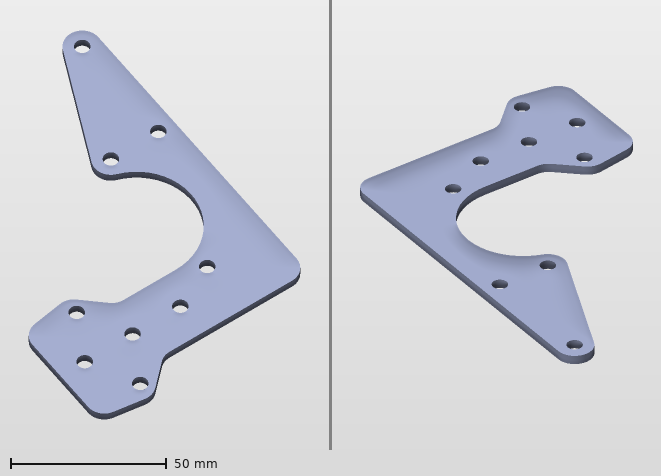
import cadquery as cq
import math

thickness = 3.2
edge_radius = 6.3
hole_diameter = 5.3

lobe_x = 41.8
lobe_y = -18.8

neck_x = 102.5
neck_half_width = 12.7
neck_bottom_y = -50.9
shoulder_half_width = 23.8
shoulder_y = -62.8
foot_half_width = 20.8
foot_y = -82.5

window_radius = 21.5
neck_left = neck_x - neck_half_width
neck_right = neck_x + neck_half_width
window_x = neck_left - window_radius
centre_distance = window_radius + edge_radius
window_y = lobe_y - math.sqrt(centre_distance**2 - (window_x - lobe_x)**2)

neck_hole_pitch = 18.9
foot_hole_offset = 17.5
foot_hole_y = -63.5
middle_neck_hole_y = -54.0


def on_circle(x, y, radius, angle):
    return (x + radius * math.cos(angle), y + radius * math.sin(angle))


def make_arm_and_neck():
    """Tapered arm and straight neck, joined around the round window."""
    taper_normal = math.atan2(lobe_y, lobe_x) - math.pi / 2
    window_direction = math.atan2(window_y - lobe_y, window_x - lobe_x)
    lobe_middle = (taper_normal + window_direction) / 2
    lobe_end = on_circle(lobe_x, lobe_y, edge_radius, window_direction)
    tip_middle = (math.pi / 2 + taper_normal + 2 * math.pi) / 2
    window_top = (window_x, window_y + window_radius)
    return (
        cq.Workplane("XY")
        .moveTo(0, edge_radius)
        .threePointArc(
            on_circle(0, 0, edge_radius, tip_middle),
            on_circle(0, 0, edge_radius, taper_normal),
        )
        .lineTo(*on_circle(lobe_x, lobe_y, edge_radius, taper_normal))
        .threePointArc(on_circle(lobe_x, lobe_y, edge_radius, lobe_middle), lobe_end)
        .threePointArc(window_top, (neck_left, window_y))
        .lineTo(neck_left, shoulder_y)
        .lineTo(neck_right, shoulder_y)
        .lineTo(neck_right, 0)
        .radiusArc((neck_right - edge_radius, edge_radius), -edge_radius)
        .close()
        .extrude(thickness)
    )


def make_foot():
    """Foot with sloping shoulders, slightly narrower at the bottom."""
    right_side = [
        (neck_half_width, neck_bottom_y),
        (shoulder_half_width, shoulder_y),
        (foot_half_width, foot_y),
    ]
    outline = [(neck_x + x, y) for x, y in right_side]
    outline += [(neck_x - x, y) for x, y in reversed(right_side)]
    foot = cq.Workplane("XY").polyline(outline).close().extrude(thickness)
    below_neck = cq.selectors.BoxSelector(
        (neck_x - 2 * shoulder_half_width, foot_y - edge_radius, -thickness),
        (neck_x + 2 * shoulder_half_width, (neck_bottom_y + shoulder_y) / 2, 2 * thickness),
    )
    return foot.edges("|Z").edges(below_neck).fillet(edge_radius)


def round_neck_to_foot(plate):
    """Blend the two inside corners where the shoulders leave the neck."""
    for x in (neck_left, neck_right):
        corner = cq.selectors.NearestToPointSelector((x, neck_bottom_y, thickness / 2))
        plate = plate.edges("|Z").edges(corner).fillet(edge_radius)
    return plate


hole_centres = [
    (0, 0),
    (lobe_x, 0),
    (lobe_x, lobe_y),
    (2 * window_x - lobe_x, lobe_y),
]
hole_centres += [(neck_x, middle_neck_hole_y + step * neck_hole_pitch) for step in (-1, 0, 1)]
hole_centres += [(neck_x + side * foot_hole_offset, foot_hole_y) for side in (-1, 1)]

holes = cq.Workplane("XY").pushPoints(hole_centres).circle(hole_diameter / 2).extrude(thickness)

plate = round_neck_to_foot(make_arm_and_neck().union(make_foot()))
result = plate.cut(holes)